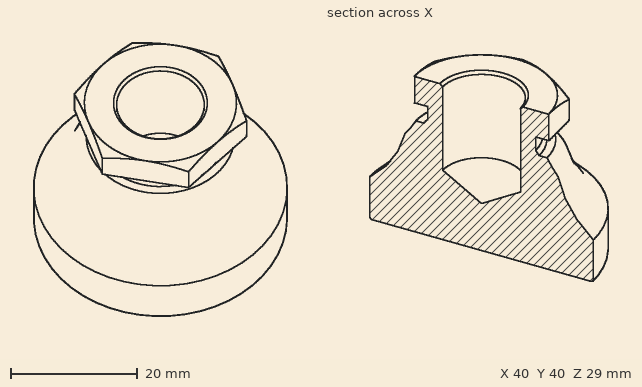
import cadquery as cq
import math

base_radius = 20.0
bottom_round = 0.5
rim_chamfer = 0.2
rim_height = 8.1
waist_radius = 13.7
waist_height = 17.8
flare_mid_radius = 16.1
flare_mid_height = 12.15
shoulder_radius = 11.7
shoulder_height = 20.8

neck_radius = 19.4 / 2
collar_radius = 10.3
collar_height = 21.6

total_height = 29.0
hex_thickness = 5.0
hex_bottom = total_height - hex_thickness
hex_flats = 24.0
hex_corners = hex_flats / math.cos(math.pi / 6)
hex_chamfer_angle = math.radians(30)

bore_radius = 13.85 / 2
bore_mouth_radius = 7.4
bore_mouth_depth = bore_mouth_radius - bore_radius
bore_depth = 16.0
drill_tip_angle = math.radians(118)
drill_tip_depth = bore_radius / math.tan(drill_tip_angle / 2)


def revolve_profile(profile):
    """Revolve a closed radius-height profile about the Z axis."""
    return profile.close().revolve(360, (0, 0, 0), (0, 1, 0))


def make_foot_and_neck():
    profile = (
        cq.Workplane("XZ")
        .lineTo(base_radius - bottom_round, 0)
        .radiusArc((base_radius, bottom_round), -bottom_round)
        .lineTo(base_radius, rim_height - rim_chamfer)
        .lineTo(base_radius - rim_chamfer, rim_height)
        .threePointArc((flare_mid_radius, flare_mid_height), (waist_radius, waist_height))
        .lineTo(shoulder_radius, shoulder_height)
        .lineTo(collar_radius, shoulder_height)
        .lineTo(neck_radius, collar_height)
        .lineTo(neck_radius, hex_bottom)
        .lineTo(0, hex_bottom)
    )
    return revolve_profile(profile)


def make_hex_head():
    head = (
        cq.Workplane("XY")
        .workplane(offset=hex_bottom)
        .polygon(6, hex_corners)
        .extrude(hex_thickness)
    )
    top_circle_radius = hex_flats / 2
    cone_radius = top_circle_radius + hex_thickness / math.tan(hex_chamfer_angle)
    chamfer_cone = revolve_profile(
        cq.Workplane("XZ")
        .moveTo(0, hex_bottom)
        .lineTo(cone_radius, hex_bottom)
        .lineTo(top_circle_radius, total_height)
        .lineTo(0, total_height)
    )
    return head.intersect(chamfer_cone)


def make_bore():
    bore_floor = total_height - bore_depth
    return revolve_profile(
        cq.Workplane("XZ")
        .moveTo(0, total_height)
        .lineTo(bore_mouth_radius, total_height)
        .lineTo(bore_radius, total_height - bore_mouth_depth)
        .lineTo(bore_radius, bore_floor)
        .lineTo(0, bore_floor - drill_tip_depth)
    )


result = make_foot_and_neck().union(make_hex_head()).cut(make_bore())